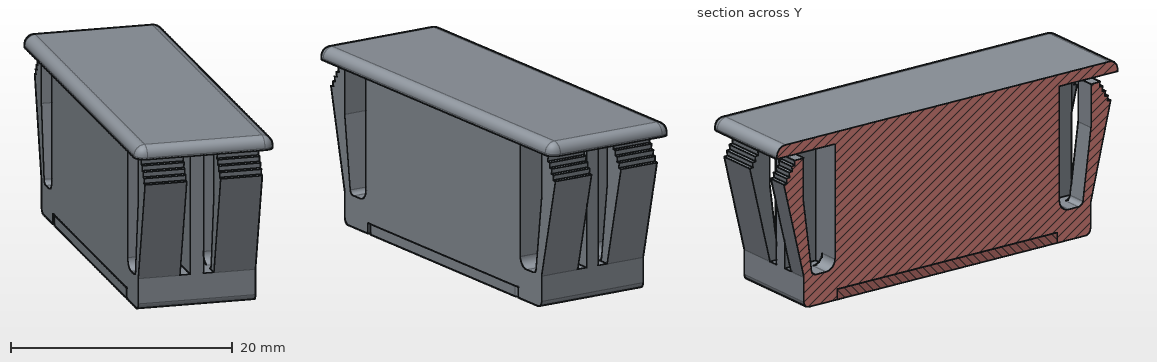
import cadquery as cq
import math

LENGTH = 38.3
WIDTH = 13.0
HEIGHT = 16.2

FLANGE_THICKNESS = 1.2
FLANGE_ROUND = 1.0
FLANGE_BOTTOM = HEIGHT - FLANGE_THICKNESS

BLOCK_LENGTH = 32.2
BLOCK_WIDTH = 11.0
BLOCK_BOTTOM_ROUND = 0.6
BLOCK_END = BLOCK_LENGTH / 2

WINDOW_DEPTH = 3.5
WINDOW_FLOOR = 3.0
WINDOW_INNER_ROUND = 1.0
WINDOW_ARM_ROUND = 0.5

ARM_WIDTH = 3.9
ARM_FOOT = 0.95
ARM_TOP = 14.48
ARM_KINK = 10.3
ARM_TOP_REACH = 1.07
ARM_STARTS = (-BLOCK_WIDTH / 2, BLOCK_WIDTH / 2 - ARM_WIDTH)

STEP_COUNT = 4
HEAD_RUN = 1.2
HEAD_DROP = 2.05
STEP_RUN = HEAD_RUN / STEP_COUNT
STEP_DROP = HEAD_DROP / STEP_COUNT
ARM_TILT = math.atan2(ARM_FOOT, ARM_KINK - WINDOW_FLOOR)
STEP_RISER = STEP_DROP * math.cos(ARM_TILT) - STEP_RUN * math.sin(ARM_TILT)

WEB_WIDTH = 1.25
GAP_WIDTH = (BLOCK_WIDTH - WEB_WIDTH) / 2 - ARM_WIDTH
GAP_STARTS = (-WEB_WIDTH / 2 - GAP_WIDTH, WEB_WIDTH / 2)

PLATE_LENGTH = 24.6
PLATE_THICKNESS = 1.0
PLATE_CORNER_ROUND = 0.57


def make_flange():
    """Cover with rounded corners and a rounded top edge."""
    flange = cq.Workplane("XY").box(LENGTH, WIDTH, FLANGE_THICKNESS, centered=(True, True, False))
    flange = flange.edges("|Z").fillet(FLANGE_ROUND)
    flange = flange.faces(">Z").edges().fillet(FLANGE_ROUND)
    return flange.translate((0, 0, FLANGE_BOTTOM))


def make_block():
    """Solid block below the flange, rounded along its lower end edges."""
    block = cq.Workplane("XY").box(BLOCK_LENGTH, BLOCK_WIDTH, FLANGE_BOTTOM, centered=(True, True, False))
    return block.edges("|Y and <Z").fillet(BLOCK_BOTTOM_ROUND)


def extrude_along_y(profile, y_start, depth):
    """Extrude an XZ profile from y_start towards +Y."""
    return profile.extrude(-depth).translate((0, y_start, 0))


def make_arm(y_start):
    """Part of a snap arm that stands out past the -X end, with its stepped head."""
    tip_x = -BLOCK_END - ARM_TOP_REACH
    tip_z = ARM_TOP
    outline = [(-BLOCK_END, WINDOW_FLOOR), (-BLOCK_END, ARM_TOP), (tip_x, tip_z)]
    for _ in range(STEP_COUNT):
        root_x = tip_x + STEP_RISER * math.sin(ARM_TILT)
        root_z = tip_z - STEP_RISER * math.cos(ARM_TILT)
        tip_x -= STEP_RUN
        tip_z -= STEP_DROP
        outline += [(root_x, root_z), (tip_x, tip_z)]
    return extrude_along_y(cq.Workplane("XZ").polyline(outline).close(), y_start, ARM_WIDTH)


def make_window(y_start):
    """Space behind a snap arm at the -X end, reaching up to the flange."""
    inner_x = -BLOCK_END + WINDOW_DEPTH
    outline = [
        (-BLOCK_END + ARM_FOOT, WINDOW_FLOOR),
        (inner_x, WINDOW_FLOOR),
        (inner_x, FLANGE_BOTTOM),
        (-BLOCK_END, FLANGE_BOTTOM),
        (-BLOCK_END, ARM_KINK),
    ]
    window = extrude_along_y(cq.Workplane("XZ").polyline(outline).close(), y_start, ARM_WIDTH)
    window = window.edges("|Y").edges("<Z").edges("<X").fillet(WINDOW_ARM_ROUND)
    return window.edges("|Y and >X and <Z").fillet(WINDOW_INNER_ROUND)


def make_gap(y_start):
    """Slot between the web and a snap arm at the -X end, as deep as the windows."""
    gap = cq.Workplane("XY").box(WINDOW_DEPTH, GAP_WIDTH, FLANGE_BOTTOM - WINDOW_FLOOR, centered=False)
    return gap.translate((-BLOCK_END, y_start, WINDOW_FLOOR))


def make_plate_blank():
    """Square-cornered block of the closing plate's size, which is also the shape of its recess."""
    return cq.Workplane("XY").box(PLATE_LENGTH, BLOCK_WIDTH, PLATE_THICKNESS, centered=(True, True, False))


def make_housing():
    """Flange, block and four snap arms in one piece."""
    block = make_block()
    for y_start in ARM_STARTS:
        arm = make_arm(y_start)
        window = make_window(y_start)
        block = block.union(arm).union(arm.mirror("YZ"))
        block = block.cut(window).cut(window.mirror("YZ"))
    for y_start in GAP_STARTS:
        gap = make_gap(y_start)
        block = block.cut(gap).cut(gap.mirror("YZ"))
    return block.cut(make_plate_blank()).union(make_flange())


def make_closing_plate():
    """Plate flush with the underside and long sides, with rounded corners."""
    return make_plate_blank().edges("|Z").fillet(PLATE_CORNER_ROUND)


housing = make_housing()
closing_plate = make_closing_plate()
result = cq.Compound.makeCompound([housing.solids().val(), closing_plate.solids().val()])